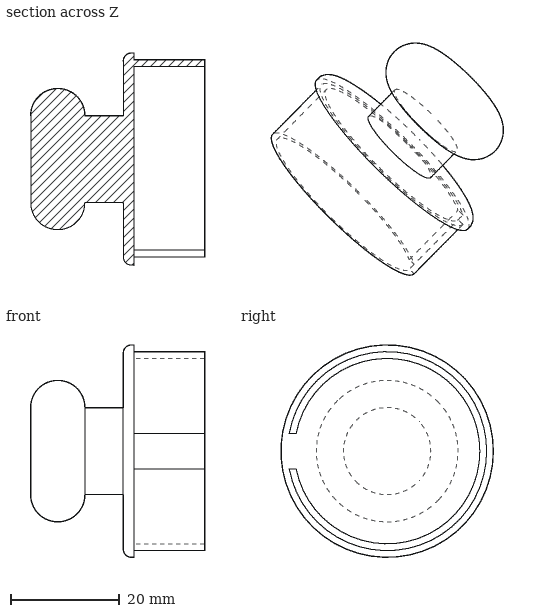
import cadquery as cq

knob_diameter = 26.0
knob_thickness = 10.0
neck_diameter = 16.0
neck_length = 7.0
flange_diameter = 39.0
flange_thickness = 2.0
flange_edge_radius = 1.5
sleeve_diameter = 36.5
sleeve_length = 13.0
sleeve_wall = 1.25
slot_width = 6.5

neck_start = knob_thickness
flange_start = neck_start + neck_length
sleeve_start = flange_start + flange_thickness


def disc(diameter, start, length):
    """Solid cylinder on the X axis, from X = start towards +X."""
    return cq.Workplane("YZ", origin=(start, 0, 0)).circle(diameter / 2).extrude(length)


def make_knob():
    """Knob with a fully rounded rim between two flat faces."""
    rim_radius = knob_thickness / 2
    flat_radius = knob_diameter / 2 - rim_radius
    return (
        cq.Workplane("XY")
        .lineTo(0, flat_radius)
        .threePointArc((rim_radius, knob_diameter / 2), (knob_thickness, flat_radius))
        .lineTo(knob_thickness, 0)
        .close()
        .revolve(360, (0, 0, 0), (1, 0, 0))
    )


def make_flange():
    """Stop flange, rounded on the edge that faces the knob."""
    return disc(flange_diameter, flange_start, flange_thickness).faces("<X").edges().fillet(flange_edge_radius)


def make_sleeve():
    """Thin sleeve open towards +X, with one full-length slot through its -Y wall."""
    bore_diameter = sleeve_diameter - 2 * sleeve_wall
    tube = disc(sleeve_diameter, sleeve_start, sleeve_length).cut(
        disc(bore_diameter, sleeve_start, sleeve_length)
    )
    slot = cq.Workplane("XY", origin=(sleeve_start, 0, 0)).box(
        sleeve_length, sleeve_diameter / 2, slot_width, centered=(False, False, True)
    )
    return tube.cut(slot.translate((0, -sleeve_diameter / 2, 0)))


neck = disc(neck_diameter, neck_start, neck_length)
result = make_knob().union(neck).union(make_flange()).union(make_sleeve())